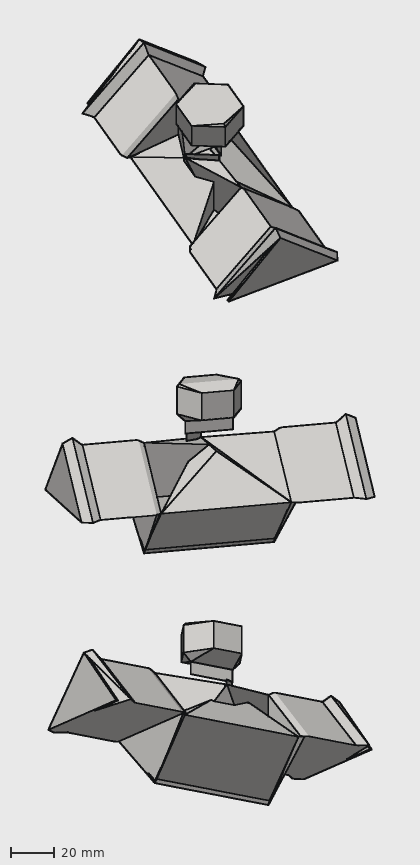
import cadquery as cq

half_length = 71.0

trunk_half_length = 31.5
trunk_front = 25.1
trunk_rear = 26.7
trunk_depth = 26.7
collar_end = 33.7
collar_half_width = 27.0
keel_top = -24.7
keel_half_width = 0.7

ridge_height = 26.7
seat_half_width = 12.8
seat_height = 23.1
flank_left = -7.0
flank_right = 16.2
undercut_y = -10.5
ramp_height = 2.8
rear_seat_y = 11.4

fin_thickness = 0.5
fin_reach = 10.8
fin_start_top = 25.5
fin_end_bottom = 25.5
fin_end_top = 29.3

bead_x = 66.2
bead_radius = 32.1
mouth_radius = 29.8
pipe_radius = 28.4
fitting_sections = [
    (trunk_half_length, ridge_height),
    (33.1, 27.5),
    (34.1, 28.1),
    (35.2, pipe_radius),
    (61.3, pipe_radius),
    (62.3, 29.0),
    (bead_x, bead_radius),
]
mouth_plate_thickness = 1.1
mouth_plate_half_width = 27.0

overall_height = 80.2
cap_top = overall_height - trunk_depth
cap_shoulder = 52.4
cap_base = 39.2
cap_radius = 15.6
cap_half_width = cap_radius * 3 ** 0.5 / 2
cap_ridge_half_length = 14.3
neck_half_length = 11.6
neck_top = 35.4
neck_bottom = 29.4
neck_thickness = 0.4
neck_edge = 1.1


def face(points):
    """Flat face through the given corner points."""
    return cq.Face.makeFromWires(cq.Wire.makePolygon([cq.Vector(*p) for p in points], close=True))


def polyhedron(faces):
    """Solid enclosed by flat faces, each listed by its corner points."""
    shell = cq.Shell.makeShell([face(points) for points in faces])
    return cq.Workplane(cq.Solid.makeSolid(shell).fix())


def facet_block(top):
    """Upright block from axis level up to one flat facet; facet corners may lie at axis level."""
    base = [(x, y, 0) for x, y, z in top]
    faces = [top, base]
    for i in range(len(top)):
        side = []
        for point in (base[i - 1], base[i], top[i], top[i - 1]):
            if point not in side:
                side.append(point)
        if len(side) > 2:
            faces.append(side)
    return polyhedron(faces)


def ruled(sections):
    """Solid with straight sides through a row of polygons."""
    wires = [cq.Wire.makePolygon([cq.Vector(*p) for p in s], close=True) for s in sections]
    return cq.Workplane(cq.Solid.makeLoft(wires, True))


def across(point):
    """The same point on the opposite side of the XZ plane."""
    x, y, z = point
    return (x, -y, z)


def lower_trunk():
    """Half of a square bar on edge, with a keel and a flared collar at both ends."""
    section = [
        (-trunk_front, 0),
        (-keel_half_width, keel_top),
        (0, -trunk_depth),
        (keel_half_width, keel_top),
        (trunk_rear, 0),
    ]
    body = cq.Workplane("YZ").polyline(section).close().extrude(trunk_half_length, both=True)
    for side in (-1, 1):
        inner = (side * trunk_half_length, -trunk_front, 0)
        outer = (side * collar_end, -collar_half_width, 0)
        keel = (side * trunk_half_length, 0, -trunk_depth)
        collar = polyhedron([
            [inner, outer, across(outer), across(inner)],
            [inner, outer, keel],
            [across(inner), across(outer), keel],
            [inner, across(inner), keel],
            [outer, across(outer), keel],
        ])
        body = body.union(collar)
    return body


def flank_edge_point(x):
    """Point where the front flank meets the upright wall from the seat corner to an end."""
    y = -seat_half_width * (1 - abs(x) / trunk_half_length)
    return (x, y, trunk_front + y)


def upper_facets():
    """Facets of the trunk above the axis, each carried by its own block."""
    front_left = (-trunk_half_length, -trunk_front, 0)
    front_right = (trunk_half_length, -trunk_front, 0)
    rear_left = (-trunk_half_length, trunk_rear, 0)
    rear_right = (trunk_half_length, trunk_rear, 0)
    ridge_left = (-trunk_half_length, 0, ridge_height)
    ridge_right = (trunk_half_length, 0, ridge_height)
    seat = (0, -seat_half_width, seat_height)
    seat_middle = (0, 0, seat_height)
    edge_left = flank_edge_point(flank_left)
    edge_right = flank_edge_point(flank_right)
    ramp_foot = (-trunk_half_length, 0, ramp_height)
    rear_seat = (0, rear_seat_y, seat_height)

    raised = facet_block([ridge_left, rear_left, seat])
    raised = raised.union(facet_block([ridge_right, seat, seat_middle]))
    raised = raised.union(facet_block([rear_left, rear_seat, seat]))
    raised = raised.union(facet_block([rear_right, rear_seat, seat]))
    body = raised.cut(seat_undercut())
    body = body.union(facet_block([front_left, front_right, edge_right, edge_left]))
    body = body.union(facet_block([front_left, edge_left, ramp_foot]))
    return body.union(facet_block([rear_left, rear_right, rear_seat]))


def seat_undercut():
    """Space under the seat corner, which overhangs the front flank."""
    outline = [
        (-seat_half_width, seat_height),
        (undercut_y, trunk_front + undercut_y),
        (undercut_y, 0),
        (-seat_half_width, 0),
    ]
    return cq.Workplane("YZ").polyline(outline).close().extrude(trunk_half_length, both=True)


def fin():
    """Thin upright blade across the front right corner of the seat."""
    end_y = -seat_half_width * (1 - fin_reach / neck_half_length)
    outline = [
        (0, -seat_half_width, seat_height - fin_thickness),
        (fin_reach, end_y, fin_end_bottom),
        (fin_reach, end_y, fin_end_top),
        (0, -seat_half_width, fin_start_top),
    ]
    inner = [(x, y + fin_thickness, z) for x, y, z in outline]
    return ruled([outline, inner])


def make_centre_body():
    return lower_trunk().union(upper_facets()).union(fin())


def make_end_fitting(side):
    """Triangular pipe end with a raised bead; side is +1 or -1 along X."""
    end_x = side * half_length
    bead = side * bead_x
    sections = [[(side * x, -r, 0), (side * x, r, 0), (side * x, 0, r)] for x, r in fitting_sections]
    body = ruled(sections)

    body = body.union(ruled([
        [(bead, 0, 0), (bead, bead_radius, 0), (bead, 0, bead_radius)],
        [(end_x, 0, 0), (end_x, mouth_radius, 0), (end_x, 0, mouth_radius)],
    ]))

    root = (bead, 0, 0)
    corner = (bead, -bead_radius, 0)
    crest = (bead, 0, bead_radius)
    end_root = (end_x, 0, 0)
    end_crest = (end_x, 0, mouth_radius)
    body = body.union(polyhedron([
        [root, corner, crest],
        [root, corner, end_root],
        [root, crest, end_crest, end_root],
        [corner, crest, end_crest],
        [corner, end_crest, end_root],
    ]))

    plate = [(0, 0), (-mouth_plate_half_width, 0), (0, mouth_radius)]
    plate_solid = cq.Workplane("YZ", origin=(end_x, 0, 0)).polyline(plate).close()
    return body.union(plate_solid.extrude(-side * mouth_plate_thickness))


def cap_end(height, edge_half_length, edge_height):
    """Hexagon at one height, drawn in to a straight edge along X at another."""
    side_corner = cap_radius / 2
    left = (-cap_radius, 0, height)
    right = (cap_radius, 0, height)
    front_left = (-side_corner, -cap_half_width, height)
    front_right = (side_corner, -cap_half_width, height)
    edge_left = (-edge_half_length, 0, edge_height)
    edge_right = (edge_half_length, 0, edge_height)
    flank = [
        [edge_left, edge_right, front_right, front_left],
        [left, front_left, edge_left],
        [right, front_right, edge_right],
    ]
    far_flank = [[across(p) for p in points] for points in flank]
    hexagon = [left, front_left, front_right, right, across(front_right), across(front_left)]
    return polyhedron(flank + far_flank + [hexagon])


def make_cap():
    """Hexagonal cap with a low roof, a wedge underneath and a thin neck."""
    body = cq.Workplane("XY", origin=(0, 0, cap_base)).polygon(6, 2 * cap_radius)
    body = body.extrude(cap_shoulder - cap_base)
    body = body.union(cap_end(cap_shoulder, cap_ridge_half_length, cap_top))
    body = body.union(cap_end(cap_base, neck_half_length, neck_top))
    flat_end = neck_half_length - neck_edge
    half_thickness = neck_thickness / 2
    neck_outline = [
        (-neck_half_length, 0),
        (-flat_end, -half_thickness),
        (flat_end, -half_thickness),
        (neck_half_length, 0),
        (flat_end, half_thickness),
        (-flat_end, half_thickness),
    ]
    neck = cq.Workplane("XY", origin=(0, 0, neck_bottom)).polyline(neck_outline).close()
    return body.union(neck.extrude(cap_base - neck_bottom))


centre_body = make_centre_body()
end_fittings = [make_end_fitting(side) for side in (-1, 1)]
cap = make_cap()

result = cq.Compound.makeCompound([
    centre_body.solids().val(),
    *[fitting.solids().val() for fitting in end_fittings],
    cap.solids().val(),
])